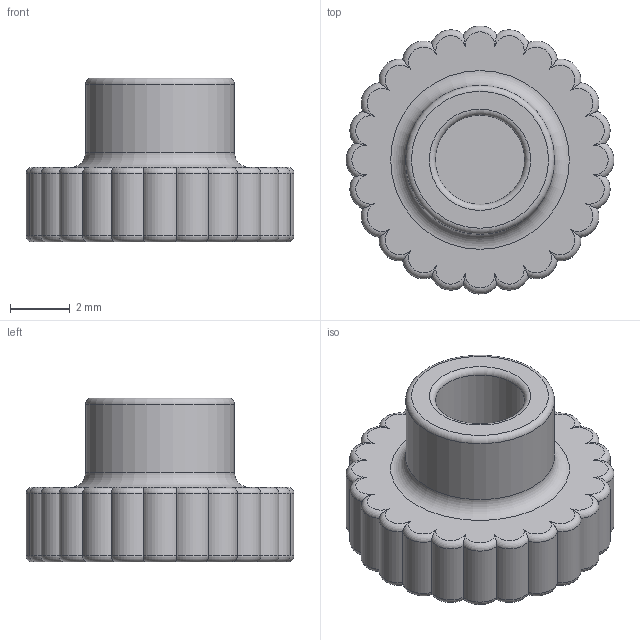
import cadquery as cq
import math

HEAD_DIAMETER = 9.0
HEAD_HEIGHT = 2.5
LOBE_COUNT = 24
LOBE_RADIUS = 0.7
HUB_DIAMETER = 5.0
TOTAL_HEIGHT = 5.5
BORE_DIAMETER = 3.0
EDGE_RADIUS = 0.2
HUB_ROOT_RADIUS = 0.5

HUB_RADIUS = HUB_DIAMETER / 2
BORE_RADIUS = BORE_DIAMETER / 2
BORE_FLOOR_Z = HEAD_HEIGHT
LOBE_CENTRE_RADIUS = HEAD_DIAMETER / 2 - LOBE_RADIUS
LOBE_HALF_ANGLE = math.pi / LOBE_COUNT
VALLEY_RADIUS = LOBE_CENTRE_RADIUS * math.cos(LOBE_HALF_ANGLE) + math.sqrt(
    LOBE_RADIUS**2 - (LOBE_CENTRE_RADIUS * math.sin(LOBE_HALF_ANGLE)) ** 2
)


def polar(radius, angle):
    """Point in the XY plane at a radius and an angle in radians."""
    return (radius * math.cos(angle), radius * math.sin(angle))


def make_head():
    """Scalloped grip disc with rounded top and bottom rims."""
    outline = cq.Workplane("XY").moveTo(*polar(VALLEY_RADIUS, -LOBE_HALF_ANGLE))
    for index in range(LOBE_COUNT):
        lobe_angle = 2 * index * LOBE_HALF_ANGLE
        tip = polar(HEAD_DIAMETER / 2, lobe_angle)
        next_valley = polar(VALLEY_RADIUS, lobe_angle + LOBE_HALF_ANGLE)
        outline = outline.threePointArc(tip, next_valley)
    disc = outline.close().extrude(HEAD_HEIGHT)
    return disc.faces("<Z or >Z").edges().fillet(EDGE_RADIUS)


def make_hub():
    """Revolved hub whose foot flares into the head and whose rim is rounded."""
    diagonal = math.sqrt(0.5)
    rim_z = TOTAL_HEIGHT - EDGE_RADIUS
    rim_radius = HUB_RADIUS - EDGE_RADIUS
    root_radius = HUB_RADIUS + HUB_ROOT_RADIUS
    root_z = HEAD_HEIGHT + HUB_ROOT_RADIUS
    root_mid = (root_radius - HUB_ROOT_RADIUS * diagonal, root_z - HUB_ROOT_RADIUS * diagonal)
    rim_mid = (rim_radius + EDGE_RADIUS * diagonal, rim_z + EDGE_RADIUS * diagonal)
    profile = (
        cq.Workplane("XZ")
        .moveTo(0, HEAD_HEIGHT)
        .lineTo(root_radius, HEAD_HEIGHT)
        .threePointArc(root_mid, (HUB_RADIUS, root_z))
        .lineTo(HUB_RADIUS, rim_z)
        .threePointArc(rim_mid, (rim_radius, TOTAL_HEIGHT))
        .lineTo(0, TOTAL_HEIGHT)
        .close()
    )
    return profile.revolve(360, (0, 0, 0), (0, 1, 0))


def cut_bore(body):
    """Blind bore from the hub end, with a rounded mouth."""
    depth = TOTAL_HEIGHT - BORE_FLOOR_Z
    bore = cq.Workplane("XY").workplane(offset=BORE_FLOOR_Z).circle(BORE_RADIUS).extrude(depth)
    mouth = cq.selectors.RadiusNthSelector(0)
    return body.cut(bore).faces(">Z").edges(mouth).fillet(EDGE_RADIUS)


result = cut_bore(make_head().union(make_hub()))